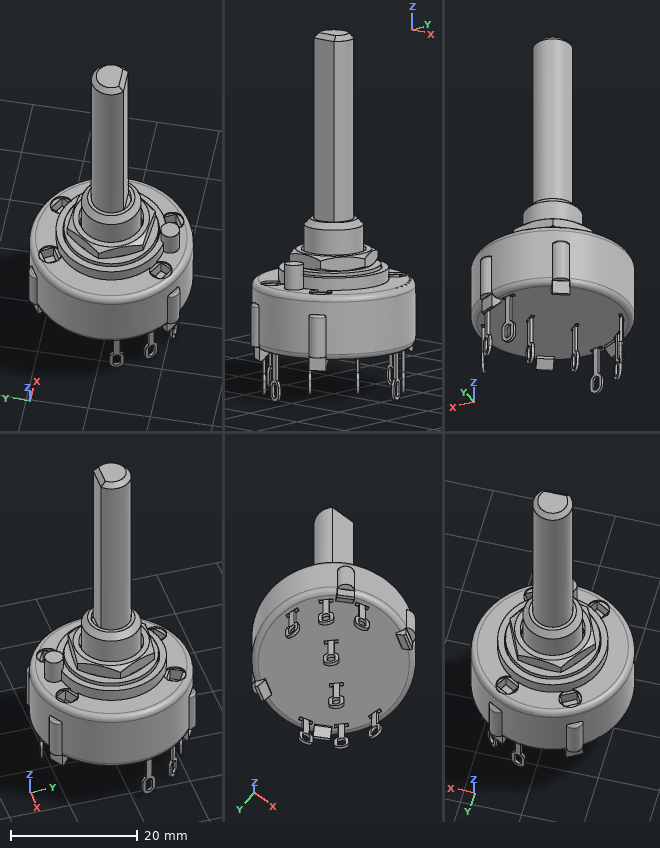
import cadquery as cq
import math


BODY_DIAMETER = 26.0
BODY_HEIGHT = 10.5
BODY_EDGE_RADIUS = 1.0

BOSS_DIAMETER = 17.5
BOSS_TOP = 12.5
WASHER_RECESS_DIAMETER = 15.3
WASHER_SEAT = 12.0

WASHER_DIAMETER = 15.0
WASHER_BORE = 10.31
WASHER_THICKNESS = 1.0

NUT_ACROSS_FLATS = 12.5
NUT_BORE = 10.25
NUT_THICKNESS = 2.45
NUT_CHAMFER_DIAMETER = 12.1
NUT_CHAMFER_HEIGHT = 0.6
NUT_ANGLE = -5.5

BUSHING_DIAMETER = 9.5
BUSHING_TOP = 20.4
BUSHING_CHAMFER = 1.0

SHAFT_DIAMETER = 6.35
SHAFT_TOP = 50.4
SHAFT_CHAMFER = 0.8
SHAFT_FLAT_OFFSET = 2.35
SHAFT_FLAT_DEPTH_IN_BUSHING = 1.0

PIN_DIAMETER = 3.0
PIN_TOP = 14.5
PIN_OFFSET = 9.5

SNAP_ANGLES = (60, 120, 240, 300)
COLUMN_DIAMETER = 3.0
COLUMN_RADIUS = 12.3
COLUMN_TOP = 7.4
COLUMN_EDGE_RADIUS = 0.4
FOOT_OUTER_RADIUS = 12.85
FOOT_TOP = 0.55
FOOT_BOTTOM = -1.75
HOOK_TIP_INNER_RADIUS = 12.4
HOOK_ROOT_INNER_RADIUS = 11.1
HOOK_ROOT_LEVEL = -0.45

POCKET_RADIUS = 10.31
POCKET_RIM_DIAMETER = 3.55
POCKET_RIM_DEPTH = 0.3
POCKET_SLOT_LENGTH = 2.75
POCKET_SLOT_WIDTH = 2.2
POCKET_SLOT_DEPTH = 2.0

CONTACT_ANGLES = (15, 45, 75, 195, 225, 255)
CONTACT_RADIUS = 11.05
COMMON_ANGLES = (45, 225)
COMMON_RADIUS = 3.8
TERMINAL_BOTTOM = -8.1
TERMINAL_THICKNESS = 0.5
STEM_WIDTH = 1.0
SHOULDER_WIDTH = 2.2
SHOULDER_DROP = 0.15
EYE_WIDTH = 2.4
EYE_LENGTH = 3.6
EYE_HOLE_WIDTH = 1.2
EYE_HOLE_LENGTH = 2.4

EMBED = 0.5


def cylinder(diameter, bottom, top):
    """Upright cylinder on the Z axis."""
    return cq.Workplane("XY").workplane(offset=bottom).circle(diameter / 2).extrude(top - bottom)


def at_angle(shape, angle):
    """Turn a shape built on the +X axis about Z."""
    return shape.rotate((0, 0, 0), (0, 0, 1), angle)


def make_body():
    return cylinder(BODY_DIAMETER, 0, BODY_HEIGHT).faces("<Z or >Z").edges().fillet(BODY_EDGE_RADIUS)


def make_boss():
    boss = cylinder(BOSS_DIAMETER, BODY_HEIGHT - EMBED, BOSS_TOP)
    recess = cylinder(WASHER_RECESS_DIAMETER, WASHER_SEAT, BOSS_TOP)
    return boss.cut(recess)


def make_pocket():
    """Cutter on the +X axis: a shallow round rim with a rectangular slot in its floor."""
    rim_floor = BODY_HEIGHT - POCKET_RIM_DEPTH
    rim = cylinder(POCKET_RIM_DIAMETER, rim_floor, BODY_HEIGHT)
    slot = (
        cq.Workplane("XY")
        .workplane(offset=rim_floor)
        .rect(POCKET_SLOT_WIDTH, POCKET_SLOT_LENGTH)
        .extrude(-POCKET_SLOT_DEPTH)
    )
    return rim.union(slot).translate((POCKET_RADIUS, 0, 0))


def make_washer():
    washer_top = WASHER_SEAT + WASHER_THICKNESS
    return cylinder(WASHER_DIAMETER, WASHER_SEAT, washer_top).cut(cylinder(WASHER_BORE, WASHER_SEAT, washer_top))


def make_nut():
    """Hexagon nut with its corners turned off to a cone on both faces."""
    nut_bottom = WASHER_SEAT + WASHER_THICKNESS
    corner_diameter = NUT_ACROSS_FLATS / math.cos(math.radians(30))
    bore_radius = NUT_BORE / 2
    corner_radius = corner_diameter / 2
    face_radius = NUT_CHAMFER_DIAMETER / 2
    hexagon = cq.Workplane("XY").polygon(6, corner_diameter).extrude(NUT_THICKNESS)
    turned = (
        cq.Workplane("XZ")
        .moveTo(bore_radius, 0)
        .lineTo(face_radius, 0)
        .lineTo(corner_radius, NUT_CHAMFER_HEIGHT)
        .lineTo(corner_radius, NUT_THICKNESS - NUT_CHAMFER_HEIGHT)
        .lineTo(face_radius, NUT_THICKNESS)
        .lineTo(bore_radius, NUT_THICKNESS)
        .close()
        .revolve(360, (0, 0, 0), (0, 1, 0))
    )
    return at_angle(hexagon.intersect(turned), NUT_ANGLE).translate((0, 0, nut_bottom))


def make_bushing_and_shaft():
    bushing = cylinder(BUSHING_DIAMETER, WASHER_SEAT - EMBED, BUSHING_TOP)
    bushing = bushing.faces(">Z").edges().chamfer(BUSHING_CHAMFER)

    flat_bottom = BUSHING_TOP - SHAFT_FLAT_DEPTH_IN_BUSHING
    flat_height = SHAFT_TOP - flat_bottom
    flat_side = (
        cq.Workplane("XY")
        .workplane(offset=flat_bottom)
        .center(0, -SHAFT_FLAT_OFFSET - SHAFT_DIAMETER / 2)
        .rect(SHAFT_DIAMETER, SHAFT_DIAMETER)
        .extrude(flat_height)
    )
    shaft = cylinder(SHAFT_DIAMETER, flat_bottom, SHAFT_TOP).cut(flat_side)
    shaft = shaft.faces(">Z").edges().chamfer(SHAFT_CHAMFER)
    bore = cylinder(SHAFT_DIAMETER, flat_bottom, BUSHING_TOP)
    return bushing.cut(bore).union(shaft)


def make_pin():
    return cylinder(PIN_DIAMETER, BODY_HEIGHT - EMBED, PIN_TOP).translate((0, -PIN_OFFSET, 0))


def make_snap():
    """Round-backed column and hooked foot on the +X axis."""
    column = cylinder(COLUMN_DIAMETER, FOOT_TOP, COLUMN_TOP)
    column = column.faces(">Z").edges().fillet(COLUMN_EDGE_RADIUS)
    column = column.translate((COLUMN_RADIUS, 0, 0))

    face_offset = FOOT_OUTER_RADIUS - COLUMN_RADIUS
    foot_width = 2 * math.sqrt((COLUMN_DIAMETER / 2) ** 2 - face_offset**2)
    foot = (
        cq.Workplane("XZ")
        .moveTo(FOOT_OUTER_RADIUS, FOOT_TOP)
        .lineTo(FOOT_OUTER_RADIUS, FOOT_BOTTOM)
        .lineTo(HOOK_TIP_INNER_RADIUS, FOOT_BOTTOM)
        .lineTo(HOOK_ROOT_INNER_RADIUS, HOOK_ROOT_LEVEL)
        .lineTo(HOOK_ROOT_INNER_RADIUS, FOOT_TOP)
        .close()
        .extrude(foot_width / 2, both=True)
    )
    return column.union(foot)


def make_terminal(radius):
    """Flat terminal facing along +X: shoulder, stem and an oval eye."""
    eye_center = TERMINAL_BOTTOM + EYE_LENGTH / 2
    sheet = cq.Workplane("YZ").workplane(offset=radius - TERMINAL_THICKNESS / 2)
    shoulder_height = EMBED + SHOULDER_DROP
    shoulder = (
        sheet.center(0, EMBED - shoulder_height / 2)
        .rect(SHOULDER_WIDTH, shoulder_height)
        .extrude(TERMINAL_THICKNESS)
    )
    stem_height = EMBED - eye_center
    stem = sheet.center(0, EMBED - stem_height / 2).rect(STEM_WIDTH, stem_height).extrude(TERMINAL_THICKNESS)
    eye = sheet.center(0, eye_center).slot2D(EYE_LENGTH, EYE_WIDTH, 90).extrude(TERMINAL_THICKNESS)
    hole = sheet.center(0, eye_center).slot2D(EYE_HOLE_LENGTH, EYE_HOLE_WIDTH, 90).extrude(TERMINAL_THICKNESS)
    return shoulder.union(stem).union(eye).cut(hole)


switch = make_body()
for snap_angle in SNAP_ANGLES:
    switch = switch.cut(at_angle(make_pocket(), snap_angle))
    switch = switch.union(at_angle(make_snap(), snap_angle))

for section in (make_boss(), make_washer(), make_nut(), make_bushing_and_shaft(), make_pin()):
    switch = switch.union(section)

for contact_angle in CONTACT_ANGLES:
    switch = switch.union(at_angle(make_terminal(CONTACT_RADIUS), contact_angle))
for common_angle in COMMON_ANGLES:
    switch = switch.union(at_angle(make_terminal(COMMON_RADIUS), common_angle))

result = switch